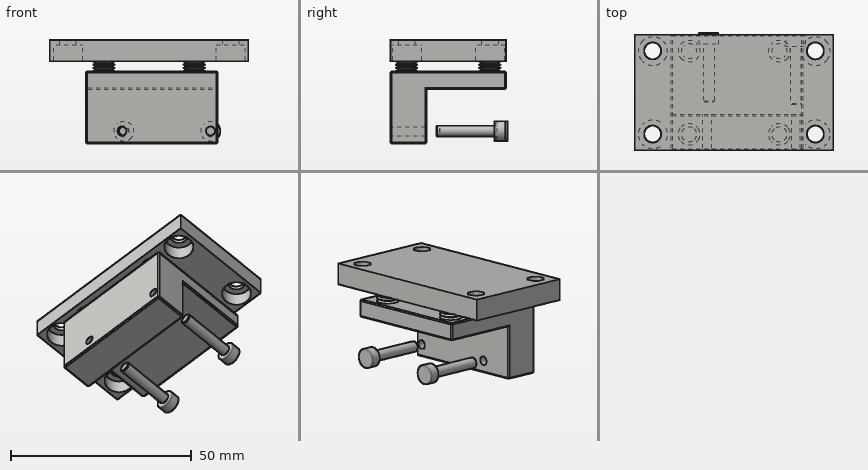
import cadquery as cq

plate_length = 55.0
plate_width = 32.0
plate_thickness = 6.0

plate_hole_dia = 4.6
counterbore_dia = 8.0
web_above_counterbore = 1.4
hole_spacing_x = 45.0
row_spacing_y = 23.0

stud_gap = 2.7
stud_spacing_x = 24.95
thread_root_dia = 4.2
thread_crest_dia = 6.0
thread_turns = 3
thread_pitch = stud_gap / thread_turns

bracket_left = 10.0
bracket_length = 36.5
bracket_height = 20.0
arm_thickness = 5.0
leg_thickness = 10.0
bracket_chamfer = 0.4

tapped_hole_dia = 2.5
left_tapped_hole_x = 20.0
right_tapped_hole_x = 44.5
hole_height = 3.45

bolt_places = [(20.45, 32.45), (right_tapped_hole_x, 31.75)]
head_dia = 5.5
head_rim_dia = 5.1
head_length = 2.95
shank_dia = 3.0
shank_tip_dia = 2.5
tip_length = 0.2
shank_length = 16.0

arm_bottom = bracket_height - arm_thickness
plate_bottom = bracket_height + stud_gap
plate_center = (plate_length / 2, plate_width / 2)


def make_plate():
    """Plate with four holes counterbored from below."""
    plate = cq.Workplane("XY", origin=(*plate_center, plate_bottom)).rect(plate_length, plate_width)
    plate = plate.extrude(plate_thickness)
    hole_places = (
        cq.Workplane("XY", origin=(*plate_center, plate_bottom))
        .rect(hole_spacing_x, row_spacing_y, forConstruction=True)
        .vertices()
    )
    through_holes = hole_places.circle(plate_hole_dia / 2).extrude(plate_thickness)
    counterbores = hole_places.circle(counterbore_dia / 2).extrude(plate_thickness - web_above_counterbore)
    return plate.cut(through_holes).cut(counterbores)


def make_bracket():
    """L-shaped bracket with its outer edges chamfered and two holes through the leg."""
    bracket = (
        cq.Workplane("YZ", origin=(bracket_left, 0, 0))
        .polyline(
            [
                (0, 0),
                (leg_thickness, 0),
                (leg_thickness, arm_bottom),
                (plate_width, arm_bottom),
                (plate_width, bracket_height),
                (0, bracket_height),
            ]
        )
        .close()
        .extrude(bracket_length)
    )
    inner_corner = (bracket_left + bracket_length / 2, leg_thickness, arm_bottom)
    concave_edge = bracket.edges(cq.NearestToPointSelector(inner_corner)).val()
    outer_edges = bracket.edges().filter(lambda edge: not edge.isSame(concave_edge))
    bracket = outer_edges.chamfer(bracket_chamfer)
    tapped_holes = (
        cq.Workplane("XZ")
        .pushPoints([(left_tapped_hole_x, hole_height), (right_tapped_hole_x, hole_height)])
        .circle(tapped_hole_dia / 2)
        .extrude(-leg_thickness)
    )
    return bracket.cut(tapped_holes)


def make_stud(x, y):
    """Stud with ring-shaped thread ridges, spanning the gap from plate to bracket."""
    profile = [(0, bracket_height), (thread_crest_dia / 2, bracket_height)]
    for turn in range(thread_turns):
        turn_start = bracket_height + turn * thread_pitch
        profile.append((thread_root_dia / 2, turn_start + thread_pitch / 2))
        profile.append((thread_crest_dia / 2, turn_start + thread_pitch))
    profile.append((0, plate_bottom))
    stud = cq.Workplane("XZ").polyline(profile).close().revolve(360, (0, 0, 0), (0, 1, 0))
    return stud.translate((x, y, 0))


def make_body():
    """Plate and bracket joined by four studs into one solid."""
    body = make_plate().union(make_bracket())
    for side_x in (-1, 1):
        for side_y in (-1, 1):
            stud_x = plate_center[0] + side_x * stud_spacing_x / 2
            stud_y = plate_center[1] + side_y * row_spacing_y / 2
            body = body.union(make_stud(stud_x, stud_y))
    return body


def make_bolt(x, head_face_y):
    """Cylinder-head bolt pointing toward -Y, with rounded head rims and a chamfered tip."""
    rim_radius = (head_dia - head_rim_dia) / 2
    tip_inset = (shank_dia - shank_tip_dia) / 2
    head = cq.Workplane("XZ", origin=(x, head_face_y, hole_height)).circle(head_dia / 2).extrude(head_length)
    head = head.faces("<Y or >Y").edges().fillet(rim_radius)
    shank = (
        cq.Workplane("XZ", origin=(x, head_face_y - head_length, hole_height))
        .circle(shank_dia / 2)
        .extrude(shank_length)
        .faces("<Y")
        .edges()
        .chamfer(tip_length, tip_inset)
    )
    return head.union(shank)


body = make_body()
bolts = [make_bolt(x, y) for x, y in bolt_places]
result = cq.Compound.makeCompound([body.val(), *[bolt.val() for bolt in bolts]])